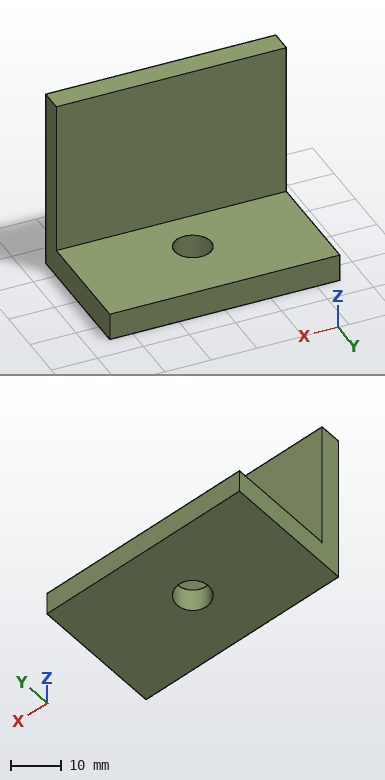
import cadquery as cq

width = 50
depth = 30
height = 40

wall_thickness = 5
base_thickness = 6
hole_diameter = 8

base = cq.Workplane("XY").box(width, depth, base_thickness, centered=(True, False, False))

wall = cq.Workplane("XY").box(width, wall_thickness, height, centered=(True, False, False))

hole = cq.Workplane("XY").center(0, depth / 2).circle(hole_diameter / 2).extrude(base_thickness)

result = base.union(wall).cut(hole)